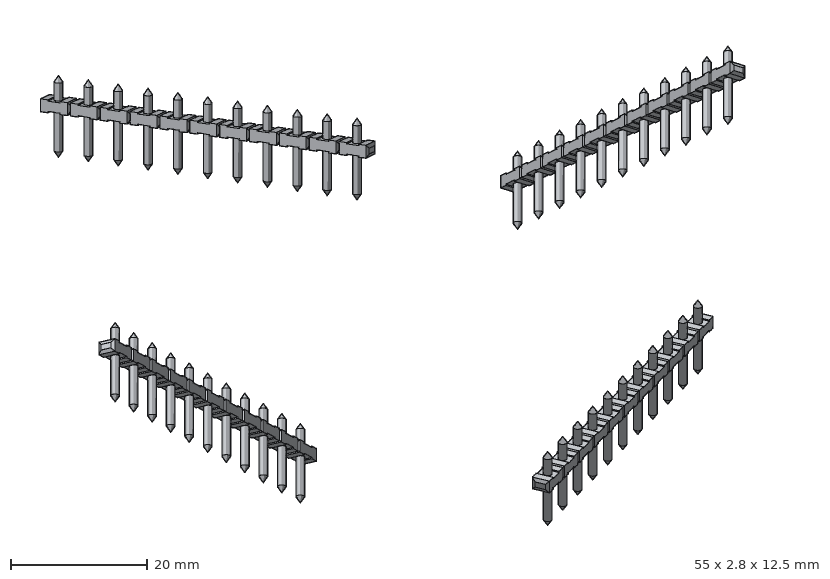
import cadquery as cq

pin_count = 11
strip_length = 55.0
pitch = strip_length / pin_count

block_width = 2.8
block_height = 2.0
taper_length = 0.25
taper_inset = 0.55
recess_length = 2.0
recess_depth = 0.2

pin_diameter = 1.3
pin_above = 3.5
pin_below = 7.0
point_height = 1.0


def block_end(direction):
    """Pyramid frustum that narrows from the block body to the pitch boundary."""
    body_end = pitch / 2 - taper_length
    return (
        cq.Workplane("YZ", origin=(direction * body_end, 0, 0))
        .rect(block_width, block_height)
        .workplane(offset=direction * taper_length)
        .rect(block_width - 2 * taper_inset, block_height - 2 * taper_inset)
        .loft(ruled=True)
    )


def make_block():
    """Block with tapered ends and a shallow cross recess on its top and bottom."""
    block = cq.Workplane("XY").box(pitch - 2 * taper_length, block_width, block_height)
    for direction in (-1, 1):
        block = block.union(block_end(direction))
        recess = cq.Workplane("XY").box(recess_length, block_width, 2 * recess_depth)
        block = block.cut(recess.translate((0, 0, direction * block_height / 2)))
    return block


def make_pin():
    """Round pin with a cone at each end, revolved about Z."""
    radius = pin_diameter / 2
    top = block_height / 2 + pin_above
    bottom = -block_height / 2 - pin_below
    return (
        cq.Workplane("XZ")
        .moveTo(0, bottom)
        .lineTo(radius, bottom + point_height)
        .lineTo(radius, top - point_height)
        .lineTo(0, top)
        .close()
        .revolve(360, (0, 0, 0), (0, 1, 0))
    )


contact = make_block().union(make_pin())

result = cq.Workplane("XY")
for index in range(pin_count):
    center_x = (index + 0.5) * pitch - strip_length / 2
    result = result.union(contact.translate((center_x, 0, 0)))